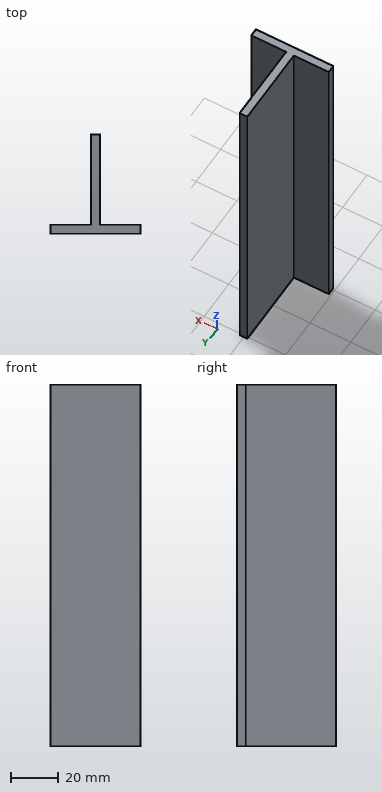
import cadquery as cq

length = 152.4
flange_width = 38.1
web_height = 38.1
thickness = 3.8

flange = cq.Workplane("XY").box(flange_width, thickness, length, centered=(True, False, False))

web = (
    cq.Workplane("XY")
    .box(thickness, web_height, length, centered=(True, False, False))
    .translate((0, thickness, 0))
)

result = flange.union(web)